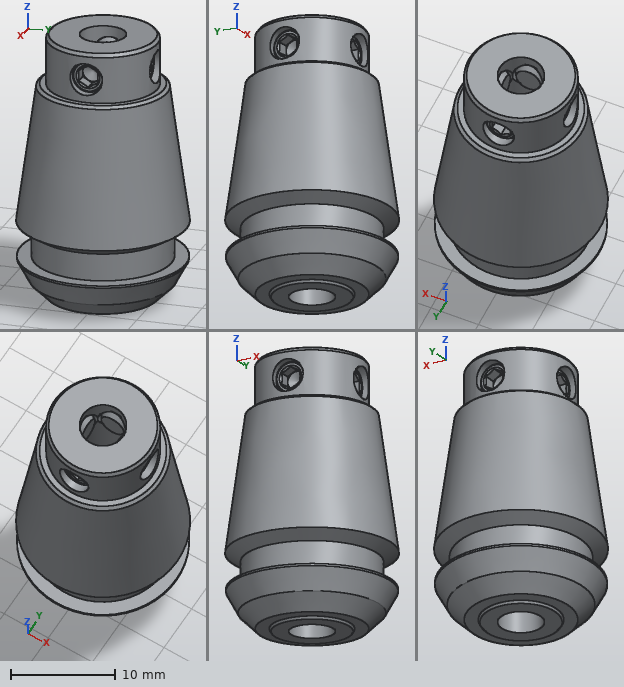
import cadquery as cq
import math

height = 27.0

foot_dia = 7.9
foot_root_dia = 8.24
nose_face_dia = 10.94
nose_break_dia = 14.23
flange_dia = 16.6
groove_dia = 13.8
cone_base_dia = 16.77
cone_top_dia = 12.9
neck_dia = 11.0
bore_dia = 4.5

nose_face_z = 0.27
nose_break_z = 1.85
flange_edge_z = 4.02
flange_top_z = 4.25
groove_top_z = 7.0
cone_base_z = 7.88
shoulder_z = 21.95

shoulder_bevel_width = 0.35
shoulder_bevel_height = 0.27
neck_bevel_width = 0.27
neck_bevel_height = 0.35

screw_count = 4
screw_z = 24.3
screw_dia = 3.25
screw_length = 3.0
screw_bevel = 0.15
screw_tip_x = 1.7
screw_tip_dia = 2.55
screw_tip_taper = 0.57
screw_head_x = screw_tip_x + screw_length

socket_flats = 1.92
socket_mouth_dia = 2.38
socket_depth = 1.35
cone_angle = 120.0


def body():
    """Revolve the outline, bore it and drill the radial screw holes."""
    outline = [
        (0, 0),
        (foot_dia / 2, 0),
        (foot_root_dia / 2, nose_face_z),
        (nose_face_dia / 2, nose_face_z),
        (nose_break_dia / 2, nose_break_z),
        (flange_dia / 2, flange_edge_z),
        (flange_dia / 2, flange_top_z),
        (groove_dia / 2, flange_top_z),
        (groove_dia / 2, groove_top_z),
        (cone_base_dia / 2, cone_base_z),
        (cone_top_dia / 2, shoulder_z - shoulder_bevel_height),
        (cone_top_dia / 2 - shoulder_bevel_width, shoulder_z),
        (neck_dia / 2, shoulder_z),
        (neck_dia / 2, height - neck_bevel_height),
        (neck_dia / 2 - neck_bevel_width, height),
        (0, height),
    ]
    turned = cq.Workplane("XZ").polyline(outline).close().revolve(360, (0, 0), (0, 1))
    bore = cq.Workplane("XY").circle(bore_dia / 2).extrude(height)
    hole = cq.Workplane("YZ", origin=(0, 0, screw_z)).circle(screw_dia / 2).extrude(neck_dia / 2)
    part = turned.cut(bore)
    for index in range(screw_count):
        part = part.cut(around_axis(hole, index))
    return part


def around_axis(shape, index):
    """Turn a shape made along +X to its place in the ring of screws."""
    return shape.rotate((0, 0, 0), (0, 0, 1), index * 360 / screw_count)


def point_cone(radius, point_angle, base_x):
    """Cone at screw height, its point aimed at the collet axis."""
    depth = radius / math.tan(math.radians(point_angle / 2))
    base = cq.Vector(base_x, 0, screw_z)
    return cq.Workplane(cq.Solid.makeCone(radius, 0, depth, pnt=base, dir=cq.Vector(-1, 0, 0)))


def set_screw():
    """Set screw along +X, with a tapered tip and a hexagon socket facing outward."""
    outline = [
        (screw_tip_x, 0),
        (screw_tip_x, screw_tip_dia / 2),
        (screw_tip_x + screw_tip_taper, screw_dia / 2),
        (screw_head_x - screw_bevel, screw_dia / 2),
        (screw_head_x, screw_dia / 2 - screw_bevel),
        (screw_head_x, 0),
    ]
    shank = (
        cq.Workplane("XZ", origin=(0, 0, screw_z))
        .polyline(outline)
        .close()
        .revolve(360, (0, 0), (1, 0))
    )
    socket_corner_dia = socket_flats / math.cos(math.pi / 6)
    hexagon = (
        cq.Workplane("YZ", origin=(screw_head_x, 0, screw_z))
        .transformed(rotate=(0, 0, 90))
        .polygon(6, socket_corner_dia)
        .extrude(-socket_depth)
    )
    drill_point = point_cone(socket_flats / 2, cone_angle, screw_head_x - socket_depth)
    mouth = point_cone(socket_mouth_dia / 2, cone_angle, screw_head_x)
    return shank.cut(hexagon).cut(drill_point).cut(mouth)


result = body()
for index in range(screw_count):
    result = result.union(around_axis(set_screw(), index))